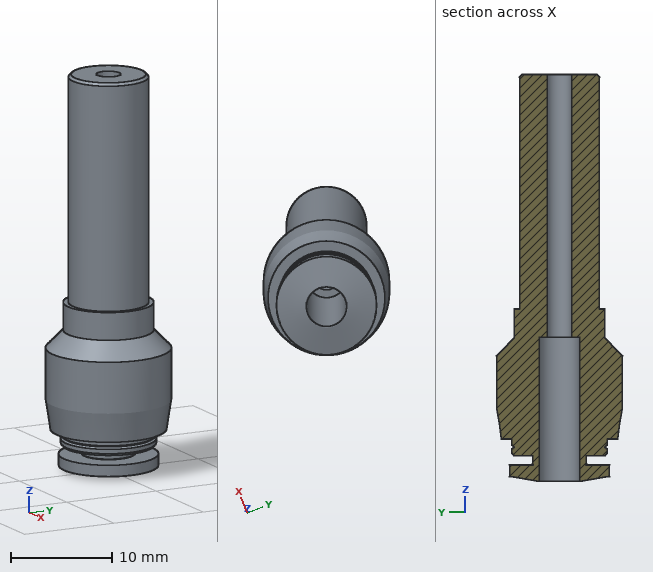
import cadquery as cq

total_length = 40.3
tube_diameter = 7.98
shoulder_diameter = 9.0
body_diameter = 12.5
body_end_diameter = 11.55
collar_diameter = 9.5
groove_diameter = 9.0
stem_diameter = 5.4
flange_diameter = 9.9
end_face_diameter = 4.27

flange_bottom = 0.5
flange_top = 1.65
collar_bottom = 2.55
collar_top = 4.2
groove_bottom = 3.22
groove_top = 3.6
groove_root = (groove_bottom + groove_top) / 2
body_taper_top = 7.2
body_top = 12.45
shoulder_bottom = 14.25
shoulder_top = 17.1

tube_chamfer = 0.3
collar_chamfer = 0.25
stem_chamfer = 0.1

passage_diameter = 2.4
socket_diameter = 4.0
socket_depth = shoulder_bottom


def cylinder(diameter, bottom, top):
    return cq.Workplane("XY").workplane(offset=bottom).circle(diameter / 2).extrude(top - bottom)


def cone(bottom_diameter, top_diameter, bottom, top):
    profile = [
        (0, bottom),
        (bottom_diameter / 2, bottom),
        (top_diameter / 2, top),
        (0, top),
    ]
    return cq.Workplane("XZ").polyline(profile).close().revolve(360, (0, 0, 0), (0, 1, 0))


def make_release_button():
    """Flanged button with a truncated cone on its end, on a slim stem with a chamfered foot."""
    end_face = cone(end_face_diameter, flange_diameter, 0, flange_bottom)
    flange = cylinder(flange_diameter, flange_bottom, flange_top)
    stem = cylinder(stem_diameter, flange_top, collar_bottom).faces("<Z").chamfer(stem_chamfer)
    return end_face.union(flange).union(stem)


def make_collar():
    """Collar with a chamfered lower edge and a shallow V-groove."""
    collar = cylinder(collar_diameter, collar_bottom, collar_top).faces("<Z").chamfer(collar_chamfer)
    groove_ring = cylinder(collar_diameter, groove_bottom, groove_top)
    lower_wall = cone(collar_diameter, groove_diameter, groove_bottom, groove_root)
    upper_wall = cone(groove_diameter, collar_diameter, groove_root, groove_top)
    return collar.cut(groove_ring).union(lower_wall).union(upper_wall)


def make_body():
    """Gripping body that narrows at both ends, with a straight shoulder on top."""
    lower_taper = cone(body_end_diameter, body_diameter, collar_top, body_taper_top)
    barrel = cylinder(body_diameter, body_taper_top, body_top)
    upper_taper = cone(body_diameter, shoulder_diameter, body_top, shoulder_bottom)
    shoulder = cylinder(shoulder_diameter, shoulder_bottom, shoulder_top)
    return lower_taper.union(barrel).union(upper_taper).union(shoulder)


def make_tube():
    """Plug-in tube with a chamfered top edge."""
    return cylinder(tube_diameter, shoulder_top, total_length).faces(">Z").chamfer(tube_chamfer)


outside = make_release_button().union(make_collar()).union(make_body()).union(make_tube())
passage = cylinder(passage_diameter, 0, total_length)
socket = cylinder(socket_diameter, 0, socket_depth)
result = outside.cut(passage).cut(socket)